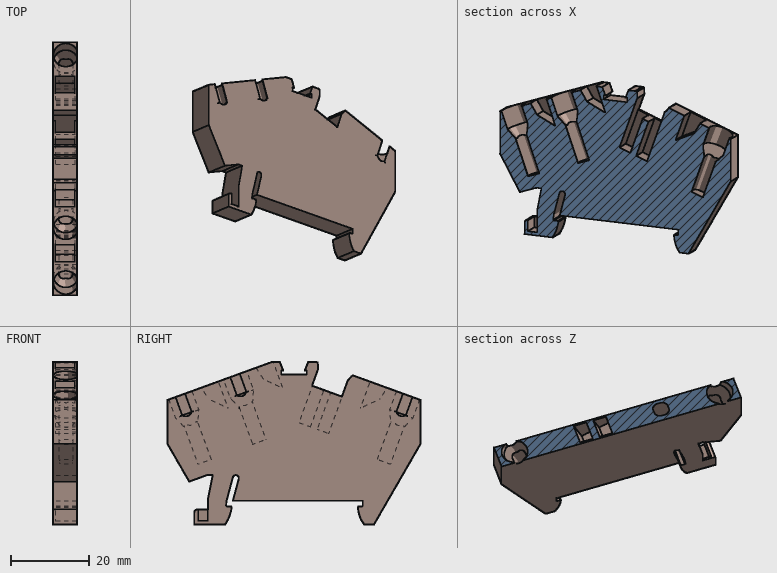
import cadquery as cq
import math

THICKNESS = 6.15
HEIGHT = 41.5
HALF_LENGTH = 32.3
SLOPE = 20.0
FLANK = 60.0
TAN_SLOPE = math.tan(math.radians(SLOPE))
COS_SLOPE = math.cos(math.radians(SLOPE))
SIN_SLOPE = math.sin(math.radians(SLOPE))
TAN_FLANK = math.tan(math.radians(FLANK))

CREST_HALF_LENGTH = 5.65
SHOULDER_Z = HEIGHT - (HALF_LENGTH - CREST_HALF_LENGTH) * TAN_SLOPE
FLANK_TOP_Z = 20.6

NOTCH_CORNER_Y = 12.2
NOTCH_CORNER_Z = 32.7
NOTCH_FLOOR = 8.05
NOTCH_WALL = 4.35
CHAMFER_TOP_Y = 14.95
HOOK_FACE = 4.5
HOOK_TOP_Y = 6.1

GROOVE_HALF_WIDTH = 3.25
GROOVE_FLOOR_Z = 38.3
LIP_HALF_GAP = 2.72
LIP_LOWER_Z = 39.3
LIP_TOP_HALF_GAP = 3.6

SEAT_Z = 6.05
CLAW_TOP_Z = 4.65
CLAW_KNEE_Z = 1.4
CLAW_CHAMFER = 0.2
CLAW_BULGE = 0.15

FIXED_ROOT_Y = 17.5
FIXED_TIP_Y = 16.25
FIXED_KNEE_Y = 17.0
FIXED_TOE_Y = 17.9

SPRING_ROOT_Y = -17.3
SPRING_TIP_Y = -15.85
SPRING_KNEE_Y = -16.75
SPRING_TOE_Y = -17.55
SPRING_BACK_Y = -21.95
SPRING_BEND_Z = 6.7
SPRING_TOP_Y = -20.75
RELIEF_Z = 12.65
RELIEF_END_Y = -22.05
RELEASE_END_Y = -25.45
RELEASE_TOP_Z = 3.9
RELEASE_ROUND = 0.8
RELEASE_RIM = 1.05
RELEASE_SIDE_WALL = 0.55
RELEASE_FLOOR_Z = 1.0

SLIT_RADIUS = 0.75
SLIT_LEAN = math.radians(15.0)
SLIT_END_Y = -14.85
SLIT_END_Z = 11.85

ENTRY_OFFSET_X = 0.2
ENTRY_RADIUS = 3.15
ENTRY_DEPTH = 5.0
CONE_END_RADIUS = 1.8
CONE_HALF_ANGLE = 24.0
BORE_SIZE = 3.6
BORE_ROUND = 1.4
BORE_DEPTH = 18.0
ENTRY_POSITION = 3.5

POCKET_WIDTH = 5.0
POCKET_LENGTH = 4.6
POCKET_POSITION = 9.2
POCKET_WALL_DEPTH = 3.3
POCKET_WALL_INSET = 0.73
POLE_COUNT = 2
POLE_PITCH = 14.85

LABEL_POCKET_LENGTH = 3.1
LABEL_POCKET_DEPTH = 10.0


def slope_height(y):
    """Height of the +Y slope at a given Y."""
    return SHOULDER_Z + (HALF_LENGTH - y) * TAN_SLOPE


def notch_point(along, up):
    """Point (Y, Z) measured from the notch corner along its floor and up its wall."""
    y = NOTCH_CORNER_Y - along * COS_SLOPE + up * SIN_SLOPE
    z = NOTCH_CORNER_Z + along * SIN_SLOPE + up * COS_SLOPE
    return (y, z)


def slit_point(side, down):
    """Point (Y, Z) on one slit edge (side +1 or -1 in Y), measured down from its round end."""
    y = SLIT_END_Y + side * SLIT_RADIUS * math.cos(SLIT_LEAN) - down * math.sin(SLIT_LEAN)
    z = SLIT_END_Z - side * SLIT_RADIUS * math.sin(SLIT_LEAN) - down * math.cos(SLIT_LEAN)
    return (y, z)


def slit_point_at(side, z):
    """Point (Y, Z) on one edge of the slit at a given height."""
    start_z = slit_point(side, 0)[1]
    return slit_point(side, (start_z - z) / math.cos(SLIT_LEAN))


def claw_bulge(tip_y, knee_y):
    """Middle point of the slightly convex claw face."""
    outward = math.copysign(CLAW_BULGE, tip_y - knee_y)
    return ((tip_y + knee_y) / 2 + outward, (CLAW_TOP_Z + CLAW_KNEE_Z) / 2)


def body():
    """Side outline of the part, extruded across its thickness."""
    fixed_heel_y = HALF_LENGTH - FLANK_TOP_Z / TAN_FLANK
    slit_tip = (SLIT_END_Y + SLIT_RADIUS * math.sin(SLIT_LEAN),
                SLIT_END_Z + SLIT_RADIUS * math.cos(SLIT_LEAN))
    flank_drop = (HALF_LENGTH + RELIEF_END_Y) * TAN_FLANK
    relief_run = (RELIEF_Z - FLANK_TOP_Z + flank_drop) / (TAN_SLOPE + TAN_FLANK)
    relief_low = (RELIEF_END_Y - relief_run, RELIEF_Z - relief_run * TAN_SLOPE)

    outline = (
        cq.Workplane("YZ")
        .moveTo(HALF_LENGTH, FLANK_TOP_Z)
        .lineTo(HALF_LENGTH, SHOULDER_Z)
        .lineTo(CHAMFER_TOP_Y, slope_height(CHAMFER_TOP_Y))
        .lineTo(*notch_point(0, NOTCH_WALL))
        .lineTo(*notch_point(0, 0))
        .lineTo(*notch_point(NOTCH_FLOOR, 0))
        .lineTo(*notch_point(NOTCH_FLOOR, HOOK_FACE))
        .lineTo(HOOK_TOP_Y, slope_height(HOOK_TOP_Y))
        .lineTo(CREST_HALF_LENGTH, HEIGHT)
        .lineTo(LIP_TOP_HALF_GAP, HEIGHT)
        .lineTo(LIP_HALF_GAP, LIP_LOWER_Z)
        .lineTo(GROOVE_HALF_WIDTH, LIP_LOWER_Z)
        .lineTo(GROOVE_HALF_WIDTH, GROOVE_FLOOR_Z)
        .lineTo(-GROOVE_HALF_WIDTH, GROOVE_FLOOR_Z)
        .lineTo(-GROOVE_HALF_WIDTH, LIP_LOWER_Z)
        .lineTo(-LIP_HALF_GAP, LIP_LOWER_Z)
        .lineTo(-LIP_TOP_HALF_GAP, HEIGHT)
        .lineTo(-CREST_HALF_LENGTH, HEIGHT)
        .lineTo(-HALF_LENGTH, SHOULDER_Z)
        .lineTo(-HALF_LENGTH, FLANK_TOP_Z)
        .lineTo(*relief_low)
        .lineTo(RELIEF_END_Y, RELIEF_Z)
        .lineTo(SPRING_TOP_Y, RELIEF_Z)
        .lineTo(SPRING_BACK_Y, SPRING_BEND_Z)
        .lineTo(SPRING_BACK_Y, RELEASE_TOP_Z)
        .lineTo(RELEASE_END_Y + RELEASE_ROUND, RELEASE_TOP_Z)
        .radiusArc((RELEASE_END_Y, RELEASE_TOP_Z - RELEASE_ROUND), -RELEASE_ROUND)
        .lineTo(RELEASE_END_Y, 0)
        .lineTo(SPRING_TOE_Y, 0)
        .lineTo(SPRING_KNEE_Y, CLAW_KNEE_Z)
        .threePointArc(claw_bulge(SPRING_TIP_Y, SPRING_KNEE_Y),
                       (SPRING_TIP_Y, CLAW_TOP_Z - CLAW_CHAMFER))
        .lineTo(SPRING_TIP_Y - CLAW_CHAMFER, CLAW_TOP_Z)
        .lineTo(SPRING_ROOT_Y + CLAW_CHAMFER, CLAW_TOP_Z)
        .lineTo(SPRING_ROOT_Y, CLAW_TOP_Z + CLAW_CHAMFER)
        .lineTo(*slit_point_at(-1, SEAT_Z))
        .lineTo(*slit_point(-1, 0))
        .threePointArc(slit_tip, slit_point(1, 0))
        .lineTo(*slit_point_at(1, SEAT_Z))
        .lineTo(FIXED_ROOT_Y, SEAT_Z)
        .lineTo(FIXED_ROOT_Y, CLAW_TOP_Z + CLAW_CHAMFER)
        .lineTo(FIXED_ROOT_Y - CLAW_CHAMFER, CLAW_TOP_Z)
        .lineTo(FIXED_TIP_Y + CLAW_CHAMFER, CLAW_TOP_Z)
        .lineTo(FIXED_TIP_Y, CLAW_TOP_Z - CLAW_CHAMFER)
        .threePointArc(claw_bulge(FIXED_TIP_Y, FIXED_KNEE_Y), (FIXED_KNEE_Y, CLAW_KNEE_Z))
        .lineTo(FIXED_TOE_Y, 0)
        .lineTo(fixed_heel_y, 0)
        .close()
    )
    return outline.extrude(THICKNESS / 2, both=True)



def conductor_entry():
    """Round entry, tapering into a rounded square bore."""
    cone_depth = (ENTRY_RADIUS - CONE_END_RADIUS) / math.tan(math.radians(CONE_HALF_ANGLE))
    mouth = (
        cq.Workplane("XZ")
        .moveTo(0, ENTRY_RADIUS)
        .lineTo(ENTRY_RADIUS, ENTRY_RADIUS)
        .lineTo(ENTRY_RADIUS, -ENTRY_DEPTH)
        .lineTo(CONE_END_RADIUS, -ENTRY_DEPTH - cone_depth)
        .lineTo(0, -ENTRY_DEPTH - cone_depth)
        .close()
        .revolve(360, (0, 0, 0), (0, 1, 0))
    )
    bore = (
        cq.Workplane("XY")
        .rect(BORE_SIZE, BORE_SIZE)
        .extrude(-BORE_DEPTH)
        .edges("|Z")
        .fillet(BORE_ROUND)
    )
    return mouth.union(bore).translate((ENTRY_OFFSET_X, ENTRY_POSITION, 0))


def screwdriver_pocket():
    """Rectangular pocket whose outer wall turns into a 45 degree ramp."""
    ramp_run = POCKET_LENGTH - POCKET_WALL_INSET
    return (
        cq.Workplane("YZ")
        .moveTo(0, 0)
        .lineTo(POCKET_WALL_INSET, -POCKET_WALL_DEPTH)
        .lineTo(POCKET_LENGTH, -POCKET_WALL_DEPTH - ramp_run)
        .lineTo(POCKET_LENGTH, 0)
        .close()
        .extrude(POCKET_WIDTH / 2, both=True)
        .translate((0, POCKET_POSITION, 0))
    )


def pole(index):
    """Entry and pocket of one pole, placed on the -Y slope."""
    return (
        conductor_entry()
        .union(screwdriver_pocket())
        .translate((0, index * POLE_PITCH, 0))
        .rotate((0, 0, 0), (1, 0, 0), SLOPE)
        .translate((0, -HALF_LENGTH, SHOULDER_Z))
    )


def label_pocket(start):
    """Pocket in the notch floor, starting at a distance from the notch corner."""
    end = start + LABEL_POCKET_LENGTH
    return (
        cq.Workplane("YZ")
        .polyline([
            notch_point(start, 0),
            notch_point(end, 0),
            notch_point(end, -LABEL_POCKET_DEPTH),
            notch_point(start, -LABEL_POCKET_DEPTH),
        ])
        .close()
        .extrude(POCKET_WIDTH / 2, both=True)
    )


def release_pocket():
    """Pocket in the release tab, from its -X side wall out through the +X side."""
    start_x = RELEASE_SIDE_WALL - THICKNESS / 2
    start_y = RELEASE_END_Y + RELEASE_RIM
    width = THICKNESS - RELEASE_SIDE_WALL
    length = SPRING_BACK_Y - start_y
    depth = RELEASE_TOP_Z - RELEASE_FLOOR_Z
    return (
        cq.Workplane("XY")
        .box(width, length, depth, centered=False)
        .translate((start_x, start_y, RELEASE_FLOOR_Z))
    )


result = body().cut(release_pocket())
for pole_index in range(POLE_COUNT):
    result = result.cut(pole(pole_index))
result = result.cut(pole(0).mirror("XZ"))
for pocket_start in (0, NOTCH_FLOOR - LABEL_POCKET_LENGTH):
    result = result.cut(label_pocket(pocket_start))